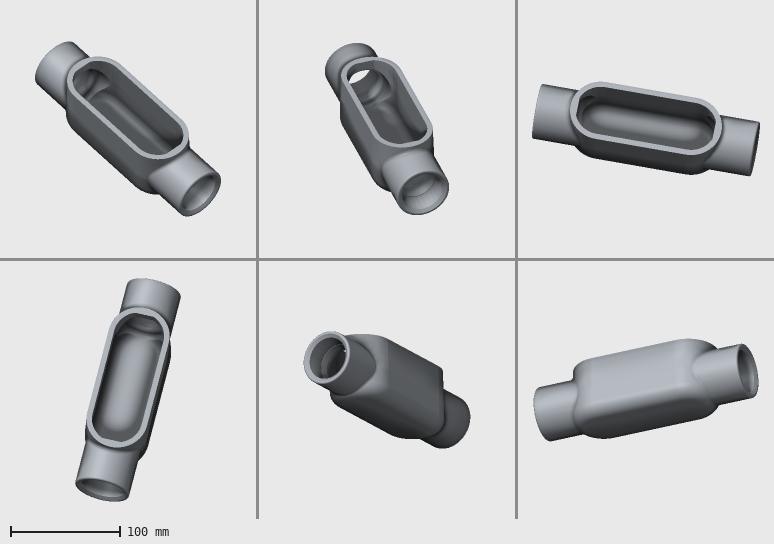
import cadquery as cq
import math

length = 203.3
body_width = 58.7
rim_width = 56.3
straight_length = 84.2
rim_z = 31.0
body_height = 58.7
bottom_z = rim_z - body_height
bottom_fillet = 12.5

wall = 5.0
cavity_rim_width = rim_width - 2 * wall
cavity_width = body_width - 2 * wall
end_flat_x = 63.5
cavity_floor_fillet = 8.0

hub_radius = 25.5
hub_edge_fillet = 1.6
hub_blend = 2.6
seam_angle = 90
hub_root_x = straight_length / 2
floor_z = bottom_z + wall
recess_radius = -floor_z
throat_radius = 17.0
mouth_radius = 22.8
thread_start_radius = 19.7
thread_end_radius = 19.1
mouth_depth = 2.5
thread_end_depth = 21.0
thread_step = 0.5
throat_depth = 27.2
recess_depth = length / 2 - end_flat_x
lip_length = 7.0


def round_ended_form(middle_width, top_width, floor, floor_fillet):
    """Round-ended solid: straight and rounded below Z = 0, drafted above it."""
    half_straight = straight_length / 2
    section = [
        (-middle_width / 2, 0),
        (middle_width / 2, 0),
        (top_width / 2, rim_z),
        (-top_width / 2, rim_z),
    ]
    form = cq.Workplane("YZ").workplane(offset=-half_straight).polyline(section).close().extrude(straight_length)
    for end_x in (-half_straight, half_straight):
        cone = cq.Solid.makeCone(middle_width / 2, top_width / 2, rim_z, cq.Vector(end_x, 0, 0))
        form = form.union(cq.Workplane(obj=cone))
    lower = cq.Workplane("XY").workplane(offset=floor)
    lower = lower.slot2D(straight_length + middle_width, middle_width).extrude(-floor)
    return form.union(lower.faces("<Z").edges().fillet(floor_fillet))


def make_hub():
    """Solid hub toward +X, with its outer rim rounded."""
    hub = cq.Workplane("YZ").workplane(offset=hub_root_x).circle(hub_radius).extrude(length / 2 - hub_root_x)
    hub = hub.faces(">X").edges().fillet(hub_edge_fillet)
    return hub.rotate((0, 0, 0), (1, 0, 0), seam_angle)


def make_cavity():
    """Round-ended pocket with a rounded floor edge and flattened ends."""
    pocket = round_ended_form(cavity_width, cavity_rim_width, floor_z, cavity_floor_fillet)
    limits = cq.Workplane("XY").box(2 * end_flat_x, body_width, 2 * length)
    return pocket.intersect(limits)


def make_passage():
    """Revolved bore toward +X: mouth, tapered thread, rounded throat and inner recess."""
    end_x = length / 2
    thread_end_x = end_x - thread_end_depth
    lip_x = end_x - recess_depth
    profile = (
        cq.Workplane("XZ")
        .moveTo(hub_root_x, 0)
        .lineTo(hub_root_x, recess_radius)
        .lineTo(lip_x, recess_radius)
        .tangentArcPoint((lip_x + lip_length / 2, (recess_radius + throat_radius) / 2), relative=False)
        .tangentArcPoint((lip_x + lip_length, throat_radius), relative=False)
        .lineTo(end_x - throat_depth, throat_radius)
        .lineTo(thread_end_x, thread_end_radius - thread_step)
        .lineTo(thread_end_x, thread_end_radius)
        .lineTo(end_x - mouth_depth, thread_start_radius)
        .lineTo(end_x, mouth_radius)
        .lineTo(end_x, 0)
        .close()
    )
    return profile.revolve(360, (0, 0, 0), (1, 0, 0))


def both_ends(solid):
    return solid.union(solid.mirror("YZ"))


def blend_hubs(shell):
    """Round the inside corner where each hub leaves the body."""
    tolerance = 0.02
    edge_samples = (0, 0.3, 0.7, 1)
    root_edges = []
    for edge in shell.edges().vals():
        box = edge.BoundingBox()
        farthest = max(abs(box.xmin), abs(box.xmax))
        on_hub = all(
            abs(math.hypot(edge.positionAt(t).y, edge.positionAt(t).z) - hub_radius) < tolerance
            for t in edge_samples
        )
        if on_hub and farthest < length / 2 - 2 * hub_edge_fillet:
            root_edges.append(edge)
    return shell.newObject(root_edges).fillet(hub_blend)


outside = round_ended_form(body_width, rim_width, bottom_z, bottom_fillet).union(both_ends(make_hub()))
result = blend_hubs(outside).cut(make_cavity()).cut(both_ends(make_passage()))